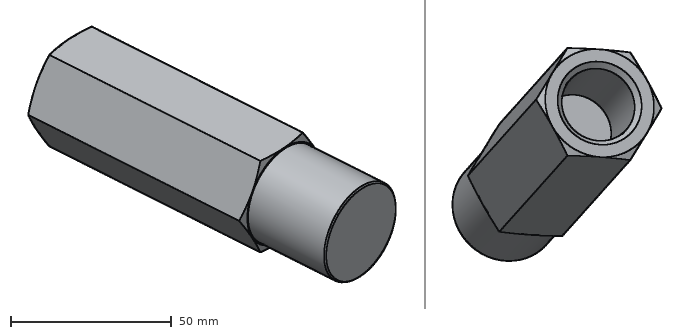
import cadquery as cq
import math

total_length = 120.65
hex_length = 88.9
hex_across_flats = 34.925
hex_across_corners = hex_across_flats / math.cos(math.radians(30))
hex_chamfer_angle = 20.0

spigot_diameter = 34.11
spigot_length = total_length - hex_length
spigot_chamfer = 0.5

bore_diameter = 23.4
bore_depth = spigot_length
lead_in_diameter = 26.95
lead_in_angle = 45.0


def revolve_about_x(points):
    """Solid of revolution about X from a closed outline of (x, radius) points."""
    return cq.Workplane("XY").polyline(points).close().revolve(360, (0, 0), (1, 0))


def make_hex_body():
    """Hexagonal bar with both ends turned down to a circle touching the flats."""
    bar = cq.Workplane("YZ").polygon(6, hex_across_corners).extrude(hex_length)
    face_radius = hex_across_flats / 2
    corner_radius = hex_across_corners / 2
    chamfer_length = (corner_radius - face_radius) * math.tan(math.radians(hex_chamfer_angle))
    turned_envelope = revolve_about_x([
        (0, 0),
        (0, face_radius),
        (chamfer_length, corner_radius),
        (hex_length - chamfer_length, corner_radius),
        (hex_length, face_radius),
        (hex_length, 0),
    ])
    return bar.intersect(turned_envelope)


def make_spigot():
    """Cylinder beyond the hexagon, chamfered at its free end."""
    radius = spigot_diameter / 2
    return revolve_about_x([
        (hex_length, 0),
        (hex_length, radius),
        (total_length - spigot_chamfer, radius),
        (total_length, radius - spigot_chamfer),
        (total_length, 0),
    ])


def make_bore():
    """Flat-bottomed bore with its conical lead-in."""
    bore_radius = bore_diameter / 2
    lead_in_radius = lead_in_diameter / 2
    lead_in_length = (lead_in_radius - bore_radius) / math.tan(math.radians(lead_in_angle))
    return revolve_about_x([
        (0, 0),
        (0, lead_in_radius),
        (lead_in_length, bore_radius),
        (bore_depth, bore_radius),
        (bore_depth, 0),
    ])


result = make_hex_body().union(make_spigot()).cut(make_bore())